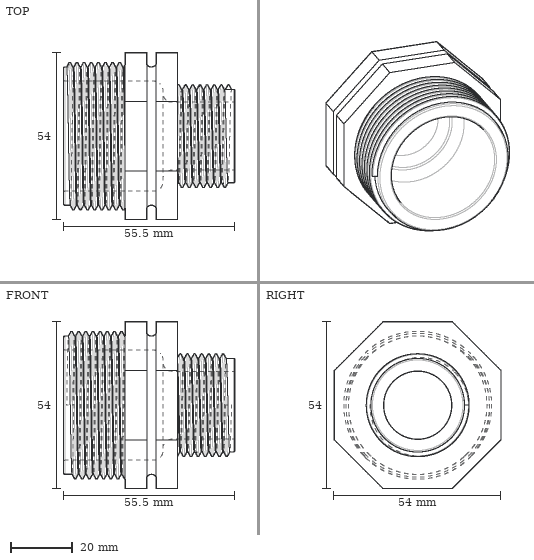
import cadquery as cq
import math

total_length = 55.5
large_end_length = 20.0
flange_thickness = 7.0
groove_width = 3.0
first_flange_start = large_end_length
groove_start = first_flange_start + flange_thickness
second_flange_start = groove_start + groove_width
second_flange_end = second_flange_start + flange_thickness

across_flats = 54.0

large_root_radius = 22.4
small_root_radius = 15.15
end_round = 0.5
groove_sagitta = 0.85

large_bore_radius = 17.8
step_radius_outer = 14.8
step_radius_inner = 13.95
small_bore_radius = 11.0
bore_step_x = 32.2
mouth_round = 0.45

pitch = 2.31
tooth_height = 1.5
tooth_base = 2.0
crest_width = 0.65
crest_rise = 0.2
root_overlap = 0.15
large_thread_start = 2.05
large_thread_turns = 9
small_thread_end = 53.4
small_thread_turns = 8


def threaded_end(root_radius, start, end, round_face):
    """Cylinder along X with its exposed end face rounded."""
    return (
        cq.Workplane("YZ", origin=(start, 0, 0))
        .circle(root_radius)
        .extrude(end - start)
        .faces(round_face)
        .edges()
        .fillet(end_round)
    )


def neck():
    """Concave neck joining the two flanges."""
    edge_radius = large_root_radius + groove_sagitta
    groove_middle = groove_start + groove_width / 2
    return (
        cq.Workplane("XY")
        .moveTo(groove_start, 0)
        .lineTo(groove_start, edge_radius)
        .threePointArc((groove_middle, large_root_radius), (second_flange_start, edge_radius))
        .lineTo(second_flange_start, 0)
        .close()
        .revolve(360, (0, 0, 0), (1, 0, 0))
    )


def flange(start):
    """Regular octagon with flats square to Y and Z."""
    corner_diameter = across_flats / math.cos(math.pi / 8)
    return (
        cq.Workplane("YZ", origin=(start, 0, 0))
        .transformed(rotate=(0, 0, 22.5))
        .polygon(8, corner_diameter)
        .extrude(flange_thickness)
    )


def thread(root_radius, start, turns):
    """Helical ridge whose tooth begins on the +Y side, centred at X = start."""
    inner = root_radius - root_overlap
    crest = root_radius + tooth_height
    shoulder = crest - crest_rise
    flank_slope = (tooth_base - crest_width) / (2 * (shoulder - root_radius))
    half_base = tooth_base / 2 + flank_slope * root_overlap
    half_crest = crest_width / 2
    path = cq.Workplane(cq.Wire.makeHelix(pitch, pitch * turns, root_radius))
    ridge = (
        cq.Workplane("XZ")
        .moveTo(inner, -half_base)
        .lineTo(shoulder, -half_crest)
        .threePointArc((crest, 0), (shoulder, half_crest))
        .lineTo(inner, half_base)
        .close()
        .sweep(path, isFrenet=True)
    )
    return ridge.rotate((0, 0, 0), (1, 1, 1), 120).translate((start, 0, 0))


def bore():
    """Stepped through bore with a rounded mouth, step corner and step edge."""
    corner = large_bore_radius - step_radius_outer
    edge = step_radius_inner - small_bore_radius
    quarter = math.sqrt(0.5)
    mouth_inset = mouth_round * (1 - quarter)
    return (
        cq.Workplane("XY")
        .lineTo(0, large_bore_radius + mouth_round)
        .threePointArc(
            (mouth_inset, large_bore_radius + mouth_inset),
            (mouth_round, large_bore_radius),
        )
        .lineTo(bore_step_x - corner, large_bore_radius)
        .threePointArc(
            (bore_step_x - corner * (1 - quarter), step_radius_outer + corner * quarter),
            (bore_step_x, step_radius_outer),
        )
        .lineTo(bore_step_x, step_radius_inner)
        .threePointArc(
            (bore_step_x + edge * (1 - quarter), step_radius_inner - edge * quarter),
            (bore_step_x + edge, small_bore_radius),
        )
        .lineTo(total_length, small_bore_radius)
        .lineTo(total_length, 0)
        .close()
        .revolve(360, (0, 0, 0), (1, 0, 0))
    )


small_thread_start = small_thread_end - small_thread_turns * pitch

large_end = threaded_end(large_root_radius, 0, groove_start, "<X").union(
    thread(large_root_radius, large_thread_start, large_thread_turns)
)
small_end = threaded_end(small_root_radius, second_flange_start, total_length, ">X").union(
    thread(small_root_radius, small_thread_start, small_thread_turns)
)

result = (
    large_end.union(flange(first_flange_start))
    .union(neck())
    .union(flange(second_flange_start))
    .union(small_end)
    .cut(bore())
)